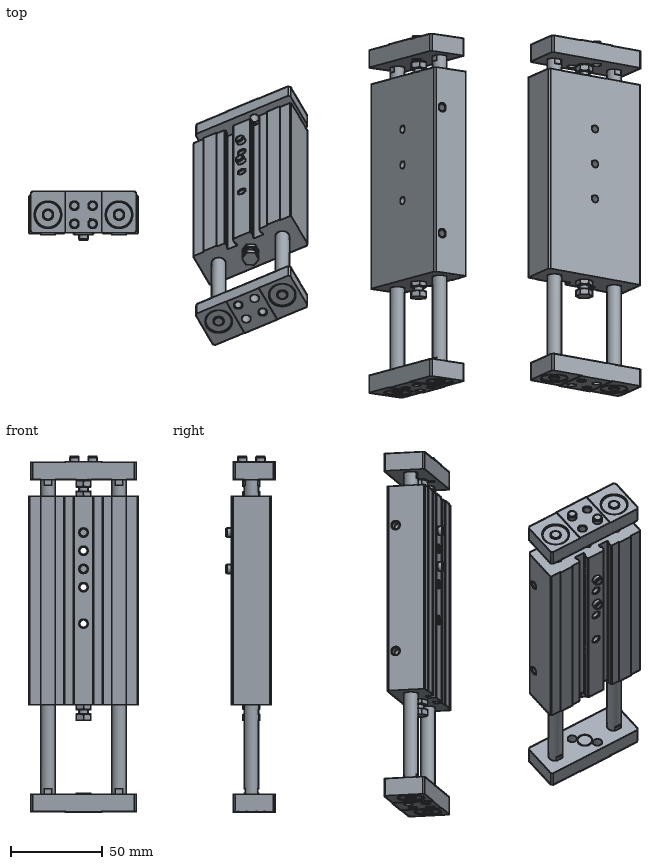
import cadquery as cq
import math

stroke = 40.0
rod_spacing = 39.0
rod_diameter = 8.0
rod_x = rod_spacing / 2

housing_width = 60.0
housing_depth = 22.0
housing_length = 114.6
front_edge_chamfer = 0.6
back_edge_chamfer = 1.0
pad_height = 0.5
rod_pad_width = 8.0
back_y = housing_depth / 2
pad_y = -housing_depth / 2
face_y = pad_y + pad_height
mid_land_half_width = 5.0
slot_width = 5.9
mouth_chamfer = 0.6
slot_depth = 4.8
undercut_width = 0.5
undercut_depth = 1.5

thread_core_diameter = 4.13
thread_diameter = 5.0
thread_chamfer = (thread_diameter - thread_core_diameter) / 2
port_inset_z = 22.0
port_y = 6.0
port_depth = 6.0
drill_point_angle = 118.0
mount_pitch = 10.0
first_mount_drop = 20.0
pin_steps = (0, 2)
thread_steps = (1, 3, 5)
pin_diameter = 5.0
pin_projection = 3.0
pin_insertion = 3.0
pin_tip_diameter = 4.13
pin_tip_length = 0.8

screw_diameter = 5.0
screw_reach = 8.5
screw_insertion = 6.0
hex_across_flats = 8.0
screw_head_height = 3.5
nut_height = 2.7
hex_face_diameter = 7.5
hex_chamfer_angle = 30.0

bumper_diameter = 8.0
bumper_height = 0.5
plate_width = 58.0
plate_front_y = -10.0
plate_back_y = 13.0
plate_thickness = 9.7
plate_chamfer = 1.0
plate_pad_width = 20.0
plate_pad_height = 0.3
plate_hole_pitch = 10.0
plate_thread_depth = 7.0
rod_recess_diameter = 15.0
rod_recess_floor_diameter = 14.0
rod_recess_depth = 0.5
rod_tip_diameter = 6.0
rod_tip_end_diameter = 5.0
rod_flat_spacing = 7.0
rod_flat_length = 3.0

upper_plate_z = housing_length + screw_reach + bumper_height
lower_plate_z = -(stroke + screw_reach + bumper_height)
hole_offset = plate_hole_pitch / 2
pin_hole_points = [(-hole_offset, hole_offset), (hole_offset, -hole_offset)]
thread_points = [(-hole_offset, -hole_offset), (hole_offset, hole_offset)]
rod_points = [(-rod_x, 0), (rod_x, 0)]


def cylinder(diameter, start, direction, length):
    return cq.Workplane(cq.Solid.makeCylinder(
        diameter / 2, length, cq.Vector(*start), cq.Vector(*direction)
    ))


def cone(start_diameter, end_diameter, start, direction, length):
    return cq.Workplane(cq.Solid.makeCone(
        start_diameter / 2, end_diameter / 2, length, cq.Vector(*start), cq.Vector(*direction)
    ))


def threaded_hole(start, direction, depth):
    """Core hole, widened to the thread diameter at its mouth."""
    mouth = cone(thread_diameter, thread_core_diameter, start, direction, thread_chamfer)
    return cylinder(thread_core_diameter, start, direction, depth).union(mouth)


def locating_pin():
    """Pin along Z with its seating plane at Z = 0."""
    length = pin_insertion + pin_projection
    pin = cq.Workplane("XY").workplane(offset=-pin_insertion).circle(pin_diameter / 2).extrude(length)
    return pin.faces("<Z or >Z").chamfer(pin_tip_length, (pin_diameter - pin_tip_diameter) / 2)


def pin_hole_blank():
    """The space that a seated pin fills below its seating plane."""
    return locating_pin().intersect(cq.Workplane("XY").box(
        2 * pin_diameter, 2 * pin_diameter, pin_insertion, centered=(True, True, False)
    ).translate((0, 0, -pin_insertion)))


def on_front(shape, z):
    """Turn a shape built along +Z so that it faces -Y on the middle land of the housing."""
    return shape.rotate((0, 0, 0), (1, 0, 0), 90).translate((0, pad_y, z))


def mount_z(step):
    return housing_length - first_mount_drop - step * mount_pitch


def sensor_slot(side):
    """Slot along Z beside the middle land, with a bevelled mouth and a slightly wider groove at its floor."""
    inner = mid_land_half_width
    outer = inner + slot_width
    neck_inner = inner + mouth_chamfer
    neck_outer = outer - mouth_chamfer
    floor = pad_y + slot_depth
    groove = floor - undercut_depth
    outline = [
        (inner, pad_y),
        (neck_inner, pad_y + mouth_chamfer),
        (neck_inner, groove),
        (neck_inner - undercut_width, groove),
        (neck_inner - undercut_width, floor),
        (neck_outer + undercut_width, floor),
        (neck_outer + undercut_width, groove),
        (neck_outer, groove),
        (neck_outer, face_y + mouth_chamfer),
        (outer, face_y),
        (outer, pad_y),
    ]
    points = [(side * x, y) for x, y in outline]
    return cq.Workplane("XY").polyline(points).close().extrude(housing_length)


def front_pad(center_x, width):
    """Strip of the front face that stands proud along the whole housing, rooted in the block behind it."""
    pad = cq.Workplane("XY").center(center_x, pad_y / 2).rect(width, -pad_y)
    return pad.extrude(housing_length)


def make_housing():
    body = cq.Workplane("XY").center(0, (back_y + face_y) / 2).rect(housing_width, back_y - face_y)
    body = body.extrude(housing_length)
    body = body.edges("|Z and <Y").chamfer(front_edge_chamfer)
    body = body.edges("|Z and >Y").chamfer(back_edge_chamfer)
    body = body.union(front_pad(0, 2 * mid_land_half_width))
    for x, _ in rod_points:
        body = body.union(front_pad(x, rod_pad_width))
    for side in (-1, 1):
        body = body.cut(sensor_slot(side))
    rod_bores = cq.Workplane("XY").pushPoints(rod_points).circle(rod_diameter / 2)
    body = body.cut(rod_bores.extrude(housing_length))

    port_point_depth = thread_core_diameter / 2 / math.tan(math.radians(drill_point_angle / 2))
    for z in (port_inset_z, housing_length - port_inset_z):
        mouth = (-housing_width / 2, port_y, z)
        inward = (1, 0, 0)
        bottom = (-housing_width / 2 + port_depth, port_y, z)
        body = body.cut(threaded_hole(mouth, inward, port_depth))
        body = body.cut(cone(thread_core_diameter, 0, bottom, inward, port_point_depth))

    for step in thread_steps:
        mouth = (0, pad_y, mount_z(step))
        body = body.cut(threaded_hole(mouth, (0, 1, 0), housing_depth))
    for step in pin_steps:
        body = body.cut(on_front(pin_hole_blank(), mount_z(step)))

    for start in (0, housing_length - screw_insertion):
        body = body.cut(cylinder(screw_diameter, (0, 0, start), (0, 0, 1), screw_insertion))
    return body


def hexagon(height):
    """Hexagonal prism with corners towards +Y and -Y and with its upper corners bevelled."""
    corner_radius = hex_across_flats / math.sqrt(3)
    prism = cq.Workplane("XY").polygon(6, 2 * corner_radius).extrude(height)
    prism = prism.rotate((0, 0, 0), (0, 0, 1), 90)
    bevel_height = (corner_radius - hex_face_diameter / 2) * math.tan(math.radians(hex_chamfer_angle))
    envelope = cq.Workplane("XZ").polyline([
        (0, 0),
        (corner_radius, 0),
        (corner_radius, height - bevel_height),
        (hex_face_diameter / 2, height),
        (0, height),
    ]).close().revolve(360, (0, 0), (0, 1))
    return prism.intersect(envelope)


def make_stop_screw():
    """Stop screw along +Z, with the housing end face at Z = 0."""
    head_start = screw_reach - screw_head_height
    shank = cylinder(screw_diameter, (0, 0, -screw_insertion), (0, 0, 1), screw_insertion + head_start)
    head = hexagon(screw_head_height).rotate((0, 0, 0), (1, 0, 0), 180).translate((0, 0, screw_reach))
    return shank.union(head)


def make_lock_nut():
    """Lock nut with its seat at Z = 0."""
    return hexagon(nut_height).cut(cylinder(screw_diameter, (0, 0, 0), (0, 0, 1), nut_height))


def at_both_ends(shape):
    """One copy on the upper end face of the housing and one turned over on the lower end face."""
    return [shape.translate((0, 0, housing_length)), shape.rotate((0, 0, 0), (0, 1, 0), 180)]


def make_plate():
    """Yoke plate with its inner face at Z = 0 and its outer face towards +Z."""
    outer_z = plate_thickness + plate_pad_height
    depth = plate_back_y - plate_front_y
    center_y = (plate_back_y + plate_front_y) / 2
    plate = cq.Workplane("XY").center(0, center_y).rect(plate_width, depth).extrude(plate_thickness)
    plate = plate.edges("|Z").chamfer(plate_chamfer)
    pad = cq.Workplane("XY").center(0, center_y).rect(plate_pad_width, depth).extrude(outer_z)
    bumper = cylinder(bumper_diameter, (0, 0, 0), (0, 0, -1), bumper_height)
    plate = plate.union(pad).union(bumper)
    pin_holes = cq.Workplane("XY").pushPoints(pin_hole_points).circle(pin_diameter / 2)
    plate = plate.cut(pin_holes.extrude(outer_z))
    for x, y in thread_points:
        plate = plate.cut(threaded_hole((x, y, outer_z), (0, 0, -1), plate_thread_depth))
    for x, y in rod_points:
        floor = (x, y, plate_thickness - rod_recess_depth)
        up = (0, 0, 1)
        plate = plate.cut(cone(rod_recess_floor_diameter, rod_recess_diameter, floor, up, rod_recess_depth))
        plate = plate.union(cone(rod_tip_diameter, rod_tip_end_diameter, floor, up, rod_recess_depth))
    return plate


def make_rod(x):
    """Guide rod between the plates, with two wrench flats at each end."""
    length = upper_plate_z - lower_plate_z
    rod = cylinder(rod_diameter, (x, 0, lower_plate_z), (0, 0, 1), length)
    for end_z in (lower_plate_z + rod_flat_length / 2, upper_plate_z - rod_flat_length / 2):
        blank = cq.Workplane("XY").box(rod_diameter, rod_diameter, rod_flat_length)
        flats = blank.cut(cq.Workplane("XY").box(rod_diameter, rod_flat_spacing, rod_flat_length))
        rod = rod.cut(flats.translate((x, 0, end_z)))
    return rod


def make_yoke():
    """Moving unit: two plates joined by the two guide rods."""
    upper = make_plate().translate((0, 0, upper_plate_z))
    lower = make_plate().mirror("XY").translate((0, 0, lower_plate_z))
    yoke = upper.union(lower)
    for x, _ in rod_points:
        yoke = yoke.union(make_rod(x))
    return yoke


housing = make_housing()
yoke = make_yoke()
stop_screws = at_both_ends(make_stop_screw())
lock_nuts = at_both_ends(make_lock_nut())
plate_pin_z = upper_plate_z + plate_thickness + plate_pad_height
plate_pins = [locating_pin().translate((x, y, plate_pin_z)) for x, y in pin_hole_points]
housing_pins = [on_front(locating_pin(), mount_z(step)) for step in pin_steps]

bodies = [housing, yoke] + stop_screws + lock_nuts + plate_pins + housing_pins
result = cq.Compound.makeCompound([body.solids().val() for body in bodies])